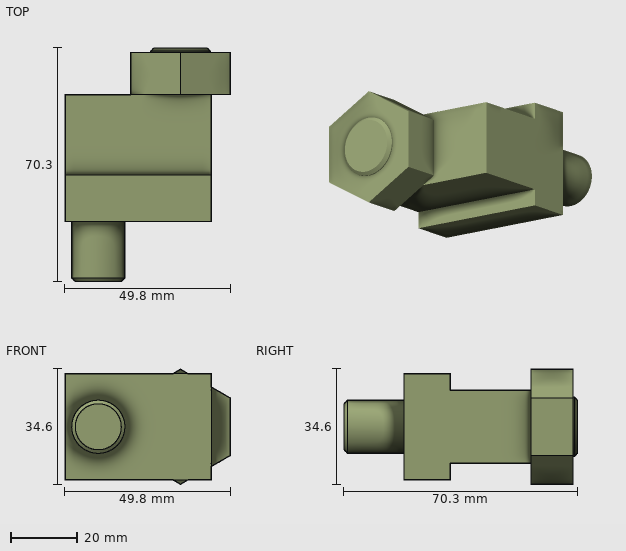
import cadquery as cq
import math

block_length = 44.0
flange_height = 32.0
flange_depth = 14.0
neck_height = 22.0
neck_depth = 24.2

pin_diameter = 16.0
pin_tip_diameter = 13.84
pin_chamfer = (pin_diameter - pin_tip_diameter) / 2
pin_straight_length = 17.0
pin_length = pin_straight_length + pin_chamfer
pin_x = 10.0

hex_across_flats = 30.0
hex_corner_angle = math.radians(30)
hex_across_corners = hex_across_flats / math.cos(hex_corner_angle)
hex_thickness = 12.7
hex_x = 34.75
round_end_diameter = 18.0
round_end_height = 1.35
round_end_chamfer = 1.0

flange_front = 0.0
neck_front = flange_front + flange_depth
neck_back = neck_front + neck_depth
hex_back = neck_back + hex_thickness


def block_section(height, depth, y_front):
    """Full-length box starting at X = 0 and y_front, centred on Z = 0."""
    section = cq.Workplane("XY").box(block_length, depth, height, centered=(False, False, True))
    return section.translate((0, y_front, 0))


def plane_facing_back(x, y):
    """Workplane at (x, y, 0) with its normal along +Y and its local x axis along Z."""
    return cq.Workplane(cq.Plane(origin=(x, y, 0), xDir=(0, 0, 1), normal=(0, 1, 0)))


def pin():
    start = plane_facing_back(pin_x, flange_front - pin_length)
    cylinder = start.circle(pin_diameter / 2).extrude(pin_length)
    return cylinder.faces("<Y").chamfer(pin_chamfer)


def hexagon():
    """Hexagonal prism with corners along +Z and -Z and flats facing +X and -X."""
    return plane_facing_back(hex_x, neck_back).polygon(6, hex_across_corners).extrude(hex_thickness)


def round_end():
    disc = plane_facing_back(hex_x, hex_back).circle(round_end_diameter / 2).extrude(round_end_height)
    return disc.faces(">Y").chamfer(round_end_chamfer)


flange = block_section(flange_height, flange_depth, flange_front)
neck = block_section(neck_height, neck_depth, neck_front)

result = flange.union(neck).union(pin()).union(hexagon()).union(round_end())